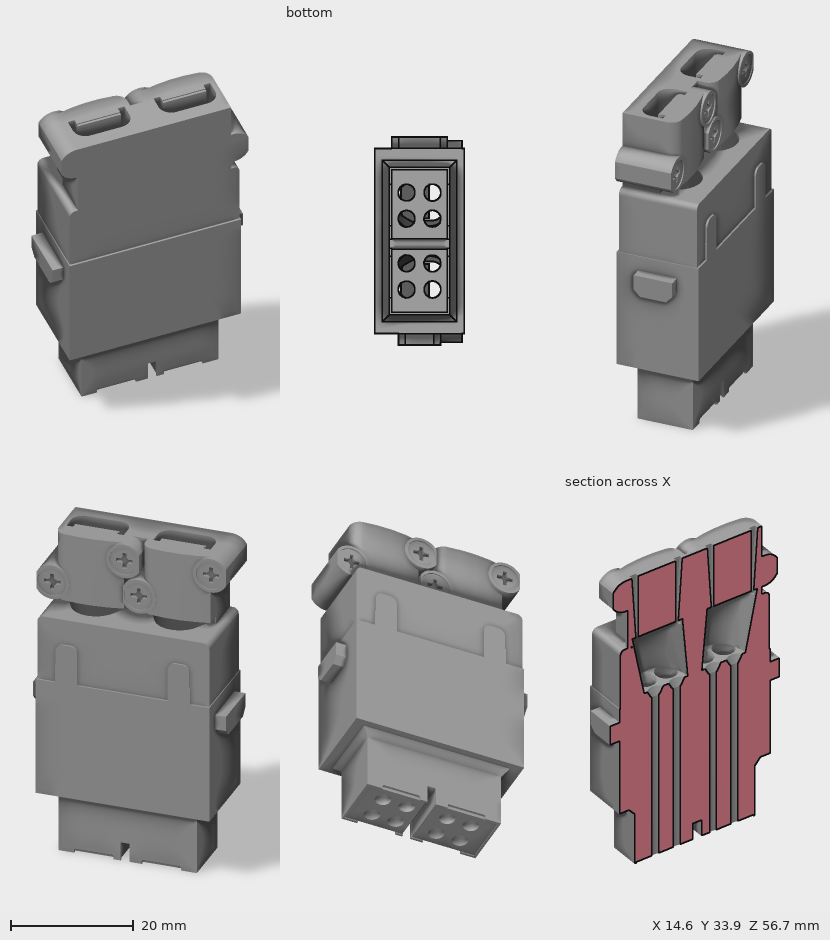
import cadquery as cq
import math

body_x = 14.6
body_y = 30.1
body_bottom = 11.05
body_top = 31.8

tail_x = 9.85
tail_y = 24.0
flare_start = 9.8
flare_growth = 1.1
key_slot_width = 1.5
key_slot_y = 0.45
key_slot_height = 3.3
foot_notch_inner = 2.45
foot_notch_outer = 9.25
foot_notch_height = 0.77
foot_notch_radius = 0.3
sleeve_wall = 0.4
core_bottom = 0.2
core_slot_clearance = 0.1

insert_x = 13.9
insert_y = 29.8
insert_top = 43.25
insert_round = 1.0

tongue_inner = 7.83
tongue_outer = 11.6
tongue_root_outer = 11.74
tongue_step_z = 34.8
tongue_top = 38.8
tongue_round = 1.3

lug_span_y = 33.85
lug_bottom = 25.45
lug_top = 29.2
lug_corner = 1.15
front_lug_x = 9.1
back_lug_x = 6.9

clamp_bottom = 44.6
clamp_top = 56.7
slab_front = 0.3
clamp_back = insert_x / 2
slab_y = 26.85
module_pitch = 15.0
module_width = 11.85
module_start = slab_y / 2
module_round = 1.9
face_crest_x = -3.05
face_start_x = -2.55
face_end_x = -2.25
face_crest_offset = 6.3

boss_radius = 3.05
boss_flat = 2.65
low_screw_offset = 0.4
high_screw_offset = -12.1
screw_radius = 2.5
screw_sink = 0.2
cross_length = 2.8
cross_width = 0.68
cross_core = 1.0
cross_depth = 0.8

slot_near = 2.55
slot_far = 12.5
slot_left = 0.2
slot_right = 4.57
slot_round = 2.2
tab_near = 3.7
tab_far = 11.3
tab_edge = 1.16
sill_width = 0.41
sill_drop = 0.2
slot_end_taper = 0.8
slot_side_taper = 0.4

arc_bulge = 1 - math.sqrt(0.5)

funnel_half_x = 4.2
funnel_mouth_half_y = 4.95
funnel_mouth_y = 7.45
funnel_mouth_corner = 2.2
funnel_floor_half_y = 4.3
funnel_floor_corner = 3.5
funnel_floor_z = 33.0
contact_x = 2.1
contact_pitch = 4.25
contact_inner_y = 3.63
contact_bore = 1.35
contact_sink_radius = 1.97
contact_sink_depth = 1.5
funnel_floor_y = contact_inner_y + contact_pitch / 2


def box(x0, x1, y0, y1, z0, z1):
    """Axis-aligned block between two opposite corners."""
    return cq.Workplane("XY").box(x1 - x0, y1 - y0, z1 - z0, centered=False).translate((x0, y0, z0))


def centred_box(size_x, size_y, z0, z1):
    return box(-size_x / 2, size_x / 2, -size_y / 2, size_y / 2, z0, z1)


def make_key_slot(size_x, width):
    """Slot through the foot of the plug, reaching size_x across it."""
    return box(
        -size_x / 2, size_x / 2,
        key_slot_y - width / 2, key_slot_y + width / 2,
        0, key_slot_height,
    )


def make_tail():
    """Plug made of a thin sleeve and a core that ends a little above the sleeve's rim."""
    core_x = tail_x - 2 * sleeve_wall
    core_y = tail_y - 2 * sleeve_wall
    tail = centred_box(tail_x, tail_y, 0, flare_start)
    flare = (
        cq.Workplane("XY", origin=(0, 0, flare_start))
        .rect(tail_x, tail_y)
        .workplane(offset=body_bottom - flare_start)
        .rect(tail_x + 2 * flare_growth, tail_y + 2 * flare_growth)
        .loft(ruled=True)
    )
    tail = tail.union(flare).cut(centred_box(core_x, core_y, 0, core_bottom))
    tail = tail.cut(make_key_slot(tail_x, key_slot_width))
    tail = tail.cut(make_key_slot(core_x, key_slot_width + 2 * core_slot_clearance))
    for wall_x in (-tail_x / 2, core_x / 2):
        for y0, y1 in ((foot_notch_inner, foot_notch_outer), (-foot_notch_outer, -foot_notch_inner)):
            notch = box(wall_x, wall_x + sleeve_wall, y0, y1, 0, foot_notch_height)
            tail = tail.cut(notch.edges("|X and >Z").fillet(foot_notch_radius))
    return tail


def make_tongue():
    """Rounded tongue on the +Y half, widened a little at its root."""
    tip = box(
        -body_x / 2, -insert_x / 2, tongue_inner, tongue_outer, body_top, tongue_top
    ).edges("|X and >Z").fillet(tongue_round)
    root = box(-body_x / 2, -insert_x / 2, tongue_inner, tongue_root_outer, body_top, tongue_step_z)
    return tip.union(root)


def make_lug(width, y0, y1):
    lug = box(-width / 2, width / 2, y0, y1, lug_bottom, lug_top)
    return lug.edges("|Y and <Z").chamfer(lug_corner)


def make_housing():
    body = centred_box(body_x, body_y, body_bottom, body_top)
    insert = centred_box(insert_x, insert_y, body_top, insert_top).edges("|X and >Z").fillet(insert_round)
    tongue = make_tongue()
    front_lug = make_lug(front_lug_x, -lug_span_y / 2, -body_y / 2)
    back_lug = make_lug(back_lug_x, body_y / 2, lug_span_y / 2)
    housing = body.union(insert).union(make_tail())
    housing = housing.union(tongue).union(tongue.mirror("XZ"))
    return housing.union(front_lug).union(back_lug)


def make_module_block(start):
    """Clamp block with a gently bowed -X face and one rounded corner."""
    end = start - module_width
    block = (
        cq.Workplane("XY", origin=(0, 0, clamp_bottom))
        .moveTo(slab_front, start)
        .lineTo(face_start_x, start)
        .threePointArc((face_crest_x, start - face_crest_offset), (face_end_x, end))
        .lineTo(slab_front, end)
        .close()
        .extrude(clamp_top - clamp_bottom)
    )
    corner = cq.selectors.NearestToPointSelector((face_start_x, start, (clamp_bottom + clamp_top) / 2))
    return block.edges(corner).fillet(module_round)


def make_boss(y, z, side, back_x):
    """Round screw boss along X, cut flat on its outer side (+1 or -1 in Y)."""
    length = back_x - face_crest_x
    boss = cq.Workplane("YZ", origin=(face_crest_x, y, z)).circle(boss_radius).extrude(length)
    keep_centre = y + side * (boss_flat - boss_radius)
    keep = box(
        face_crest_x, back_x,
        keep_centre - boss_radius, keep_centre + boss_radius,
        z - boss_radius, z + boss_radius,
    )
    return boss.intersect(keep)


def make_boss_bridge(y, module_end, back_x):
    """Flat top joining a high boss to the end of its module."""
    return box(face_end_x, back_x, y, module_end, clamp_top - boss_radius, clamp_top)


def make_screw_recess(y, z):
    """Sunk screw head face with its cross drive."""
    floor_x = face_crest_x + screw_sink
    sink = cq.Workplane("YZ", origin=(face_crest_x, y, z)).circle(screw_radius).extrude(screw_sink)
    drive_plane = cq.Workplane("YZ", origin=(floor_x, y, z))
    cross = drive_plane.rect(cross_length, cross_width).extrude(cross_depth)
    cross = cross.union(drive_plane.rect(cross_width, cross_length).extrude(cross_depth))
    core = drive_plane.polygon(4, 2 * cross_core).extrude(cross_depth)
    return sink.union(cross).union(core)


def make_clamp():
    low_z = clamp_bottom + boss_radius
    high_z = clamp_top - boss_radius
    clamp = box(slab_front, clamp_back, -slab_y / 2, slab_y / 2, insert_top, clamp_top)
    screws = []
    for index in range(2):
        start = module_start - index * module_pitch
        low_y = start + low_screw_offset
        high_y = start + high_screw_offset
        low_back = clamp_back if index == 0 else slab_front
        high_back = clamp_back if index == 1 else slab_front
        clamp = clamp.union(make_module_block(start))
        clamp = clamp.union(make_boss(low_y, low_z, 1, low_back))
        clamp = clamp.union(make_boss(high_y, high_z, -1, high_back))
        clamp = clamp.union(make_boss_bridge(high_y, start - module_width, high_back))
        screws += [(low_y, low_z), (high_y, high_z)]
    for y, z in screws:
        clamp = clamp.cut(make_screw_recess(y, z))
    return clamp


def slot_wire(plane, end_inset, side_inset):
    """Square-cornered slot outline with a tab reaching in from its -X side."""
    near = slot_near + end_inset
    far = slot_far - end_inset
    right = slot_right - side_inset
    return (
        plane.moveTo(slot_left, near)
        .lineTo(right, near)
        .lineTo(right, far)
        .lineTo(slot_left, far)
        .lineTo(slot_left, tab_far)
        .lineTo(tab_edge, tab_far)
        .lineTo(tab_edge, tab_near)
        .lineTo(slot_left, tab_near)
        .close()
    )


def make_cable_slot():
    """Slot narrowing downwards, rounded at +X, with a sill just below the edge of its tab."""
    top = slot_wire(cq.Workplane("XY", origin=(0, 0, clamp_top)), 0, 0)
    bottom_plane = top.workplane(offset=clamp_bottom - clamp_top, origin=(0, 0, clamp_top))
    slot = slot_wire(bottom_plane, slot_end_taper, slot_side_taper).loft(ruled=True)
    middle_z = (clamp_top + clamp_bottom) / 2
    for y in (slot_near, slot_far):
        corner = cq.selectors.NearestToPointSelector((slot_right, y, middle_z))
        slot = slot.edges(corner).fillet(slot_round)
    sill = box(
        tab_edge, tab_edge + sill_width, tab_near, tab_far, clamp_bottom, clamp_top - sill_drop
    )
    return slot.cut(sill)


def funnel_wire(plane, half_y, corner):
    """Outline round on the -X side, running tangentially out to two rounded corners at +X."""
    shoulder_x = slab_front
    shoulder_reach = math.hypot(shoulder_x, half_y)
    tangent_angle = math.atan2(half_y, shoulder_x) + math.acos(funnel_half_x / shoulder_reach)
    tangent_x = funnel_half_x * math.cos(tangent_angle)
    tangent_y = funnel_half_x * math.sin(tangent_angle)
    bulge = corner * arc_bulge
    right = funnel_half_x
    return (
        plane.moveTo(tangent_x, tangent_y)
        .threePointArc((-funnel_half_x, 0), (tangent_x, -tangent_y))
        .lineTo(shoulder_x, -half_y)
        .lineTo(right - corner, -half_y)
        .threePointArc((right - bulge, -half_y + bulge), (right, -half_y + corner))
        .lineTo(right, half_y - corner)
        .threePointArc((right - bulge, half_y - bulge), (right - corner, half_y))
        .lineTo(shoulder_x, half_y)
        .close()
    )


def make_funnel():
    """Funnel leading from the slot down to the four contact bores."""
    mouth_plane = cq.Workplane("XY", origin=(0, funnel_mouth_y, clamp_bottom))
    mouth = funnel_wire(mouth_plane, funnel_mouth_half_y, funnel_mouth_corner)
    floor_plane = mouth.workplane(
        offset=funnel_floor_z - clamp_bottom, origin=(0, funnel_floor_y, clamp_bottom)
    )
    return funnel_wire(floor_plane, funnel_floor_half_y, funnel_floor_corner).loft(ruled=True)


def make_contact_bore(x, y):
    bore = cq.Workplane("XY", origin=(x, y, 0)).circle(contact_bore).extrude(funnel_floor_z)
    sink = cq.Workplane("XY").add(
        cq.Solid.makeCone(
            contact_bore, contact_sink_radius, contact_sink_depth,
            pnt=cq.Vector(x, y, funnel_floor_z - contact_sink_depth),
        )
    )
    return bore.union(sink)


def make_wire_passage():
    """Everything hollow on the +Y half: slot, funnel and contact bores."""
    neck = box(-body_x, slab_front, 0, slab_y / 2, insert_top, clamp_bottom)
    passage = make_cable_slot().union(make_funnel().cut(neck))
    for x in (-contact_x, contact_x):
        for y in (contact_inner_y, contact_inner_y + contact_pitch):
            passage = passage.union(make_contact_bore(x, y))
    return passage


passage = make_wire_passage()
result = make_housing().union(make_clamp()).cut(passage).cut(passage.mirror("XZ"))